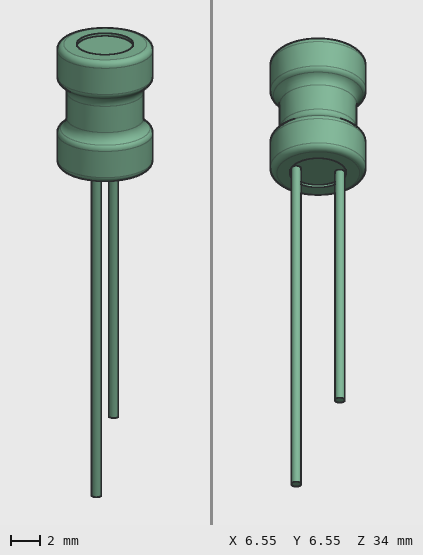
import cadquery as cq
import math

overall_height = 34.0
body_height = 8.98

flange_diameter = 6.55
flange_radius = flange_diameter / 2
waist_radius = 2.65
rim_fillet = 0.45
shoulder_fillet = rim_fillet
flange_straight = 1.95
waist_height = 1.95
sleeve_thickness = 0.2
opening_radius = 1.95

lead_diameter = 0.68
lead_spacing = 2.15
long_lead_tip = body_height - overall_height
short_lead_tip = -18.02

mid_height = body_height / 2
flange_inner_level = mid_height - rim_fillet - flange_straight
waist_end_level = waist_height / 2
shoulder_center_radius = flange_radius - shoulder_fillet
center_rise = flange_inner_level - waist_end_level
center_inset = shoulder_center_radius - waist_radius
throat_fillet = (center_rise**2 + center_inset**2 - shoulder_fillet**2) / (2 * (flange_radius - waist_radius))
throat_center_radius = waist_radius + throat_fillet
shoulder_angle = math.atan2(center_rise, throat_center_radius - shoulder_center_radius)


def spool(inset):
    """Solid spool, with its whole surface moved inward by the inset."""
    outer = flange_radius - inset
    waist = waist_radius - inset
    end_level = mid_height - inset
    rim_level = mid_height - rim_fillet
    rim_center_radius = flange_radius - rim_fillet
    rim_arc = rim_fillet - inset
    shoulder_arc = shoulder_fillet - inset
    throat_arc = throat_fillet + inset

    def point(radius, level):
        return (radius, mid_height + level)

    def rim_middle(side):
        reach = rim_arc * math.sqrt(0.5)
        return point(rim_center_radius + reach, side * (rim_level + reach))

    def shoulder_point(angle, side):
        radius = shoulder_center_radius + shoulder_arc * math.cos(angle)
        return point(radius, side * (flange_inner_level - shoulder_arc * math.sin(angle)))

    def throat_point(angle, side):
        radius = throat_center_radius - throat_arc * math.cos(angle)
        return point(radius, side * (waist_end_level + throat_arc * math.sin(angle)))

    half_angle = shoulder_angle / 2
    profile = (
        cq.Workplane("XZ")
        .moveTo(*point(0, -end_level))
        .lineTo(*point(rim_center_radius, -end_level))
        .threePointArc(rim_middle(-1), point(outer, -rim_level))
        .lineTo(*point(outer, -flange_inner_level))
        .threePointArc(shoulder_point(half_angle, -1), shoulder_point(shoulder_angle, -1))
        .threePointArc(throat_point(half_angle, -1), point(waist, -waist_end_level))
        .lineTo(*point(waist, waist_end_level))
        .threePointArc(throat_point(half_angle, 1), throat_point(shoulder_angle, 1))
        .threePointArc(shoulder_point(half_angle, 1), point(outer, flange_inner_level))
        .lineTo(*point(outer, rim_level))
        .threePointArc(rim_middle(1), point(rim_center_radius, end_level))
        .lineTo(*point(0, end_level))
        .close()
    )
    return profile.revolve(360, (0, 0, 0), (0, 1, 0))


def make_core():
    """Core that fills the sleeve; its end faces show through the openings."""
    return spool(sleeve_thickness)


def make_sleeve():
    """Thin sleeve of even thickness around the core, open at both ends."""
    opening = cq.Workplane("XY").circle(opening_radius).extrude(body_height)
    return spool(0).cut(spool(sleeve_thickness)).cut(opening)


def make_lead(x, y, tip_level):
    """Straight round wire from its tip up to the lower end face of the core."""
    return (
        cq.Workplane("XY", origin=(x, y, tip_level))
        .circle(lead_diameter / 2)
        .extrude(sleeve_thickness - tip_level)
    )


core = make_core()
sleeve = make_sleeve()
leads = [
    make_lead(side * lead_spacing / 2, -side * lead_spacing / 2, tip_level)
    for side, tip_level in ((-1, long_lead_tip), (1, short_lead_tip))
]

result = cq.Compound.makeCompound([core.val(), sleeve.val(), *[lead.val() for lead in leads]])